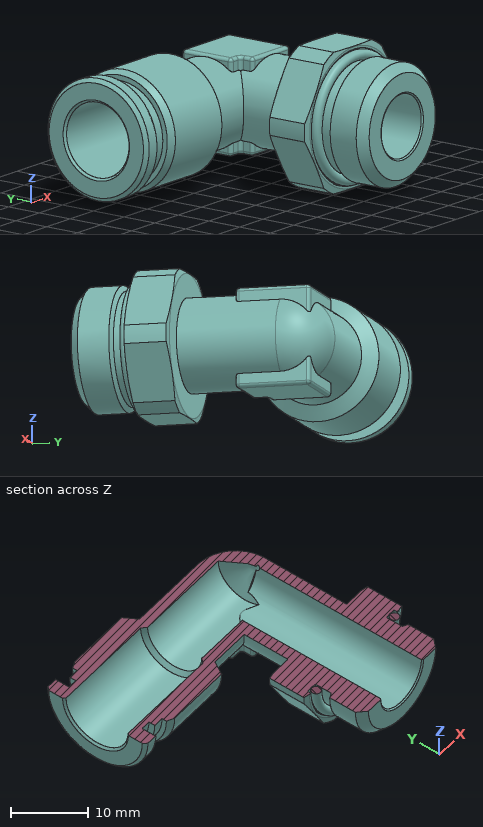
import cadquery as cq
import math


arm_radius = 6.25
pad_half_width = 4.05
pad_reach = 6.05
pad_height = 6.6
pad_edge_radius = 0.48

hex_corner_radius = 10.35
overall_length = 39.95
tube_end_x = hex_corner_radius - overall_length
collar_radius = 8.23
collar_face_radius = 7.65
collar_chamfer_length = 0.48
collar_length = 2.15
neck_radius = 6.05
neck_length = 1.35
step_radius = 7.0
step_length = 1.5
sleeve_face_radius = 7.7
sleeve_chamfer_length = 1.08
sleeve_length = 11.02
sleeve_taper_length = 1.2
collar_end_x = tube_end_x + collar_length
neck_end_x = collar_end_x + neck_length
sleeve_x = neck_end_x + step_length
sleeve_end_x = sleeve_x + sleeve_length

tube_mouth_radius = 5.4
tube_radius = 5.07
tube_mouth_depth = 0.3
bore_radius = 4.45
bore_end_x = 2.0
drill_point_angle = 118.0

overall_depth = 35.5
stud_end_y = collar_radius - overall_depth
thread_radius = 8.3
thread_chamfer = 1.2
thread_length = 5.45
thread_runout_length = 0.4
relief_radius = 7.55
stud_bore_radius = 4.3
stud_mouth_chamfer = 0.2

hex_across_flats = 19.0
hex_face_y = -19.4
hex_length = 6.07
hex_face_radius = 9.43
hex_chamfer_length = 0.2

ring_section_radius = 0.7
ring_recess_radius = 9.1
ring_recess_depth = 0.5


def revolve_about_x(points):
    """Turn a closed outline of (x, radius) points about the X axis."""
    outline = [(x, -radius) for x, radius in points]
    return cq.Workplane("XY").polyline(outline).close().revolve(360, (0, 0, 0), (1, 0, 0))


def revolve_about_y(points):
    """Turn a closed outline of (radius, y) points about the Y axis."""
    outline = [(-radius, y) for radius, y in points]
    return cq.Workplane("XY").polyline(outline).close().revolve(360, (0, 0, 0), (0, 1, 0))


def tube_arm():
    """Outer shape of the tube arm: release collar, neck, step, sleeve and plain arm."""
    return revolve_about_x([
        (tube_end_x, 0),
        (tube_end_x, collar_face_radius),
        (tube_end_x + collar_chamfer_length, collar_radius),
        (collar_end_x, collar_radius),
        (collar_end_x, neck_radius),
        (neck_end_x, neck_radius),
        (neck_end_x, step_radius),
        (sleeve_x, step_radius),
        (sleeve_x, sleeve_face_radius),
        (sleeve_x + sleeve_chamfer_length, collar_radius),
        (sleeve_end_x, collar_radius),
        (sleeve_end_x + sleeve_taper_length, arm_radius),
        (0, arm_radius),
        (0, 0),
    ])


def stud():
    """Outer shape of the stud: thread with chamfer and run-out, relief and plain arm."""
    thread_end_y = stud_end_y + thread_length
    relief_y = thread_end_y + thread_runout_length
    return revolve_about_y([
        (0, stud_end_y),
        (thread_radius - thread_chamfer, stud_end_y),
        (thread_radius, stud_end_y + thread_chamfer),
        (thread_radius, thread_end_y),
        (relief_radius, relief_y),
        (relief_radius, hex_face_y),
        (arm_radius, hex_face_y),
        (arm_radius, 0),
        (0, 0),
    ])


def hexagon():
    """Wrench hexagon with turned-down corners, chamfered on both faces and recessed for the O-ring."""
    hex_back_y = hex_face_y + hex_length
    prism = (
        cq.Workplane("XZ", origin=(0, hex_back_y, 0))
        .polygon(6, hex_across_flats, circumscribed=True)
        .extrude(hex_length)
        .rotate((0, 0, 0), (0, 1, 0), 30)
    )
    corner_envelope = revolve_about_y([
        (0, hex_face_y),
        (hex_face_radius, hex_face_y),
        (hex_corner_radius, hex_face_y + hex_chamfer_length),
        (hex_corner_radius, hex_back_y - hex_chamfer_length),
        (hex_face_radius, hex_back_y),
        (0, hex_back_y),
    ])
    recess_floor_y = hex_face_y + ring_recess_depth
    ring_recess = revolve_about_y([
        (relief_radius, hex_face_y),
        (ring_recess_radius, hex_face_y),
        (ring_recess_radius, recess_floor_y),
        (relief_radius, recess_floor_y),
    ])
    return prism.intersect(corner_envelope).cut(ring_recess)


def elbow_pads():
    """L-shaped block with rounded edges whose two faces stand out above and below the elbow."""
    return (
        cq.Workplane("XY", origin=(0, 0, -pad_height))
        .moveTo(pad_half_width, pad_half_width)
        .lineTo(-pad_reach, pad_half_width)
        .lineTo(-pad_reach, -pad_half_width)
        .lineTo(-pad_half_width, -pad_half_width)
        .lineTo(-pad_half_width, -pad_reach)
        .lineTo(pad_half_width, -pad_reach)
        .close()
        .extrude(2 * pad_height)
        .edges()
        .fillet(pad_edge_radius)
    )


def tube_bore():
    """Chamfered tube socket, conical tube stop, smaller bore and drill point."""
    stop_length = tube_radius - bore_radius
    drill_point_length = bore_radius / math.tan(math.radians(drill_point_angle / 2))
    return revolve_about_x([
        (tube_end_x, 0),
        (tube_end_x, tube_mouth_radius),
        (tube_end_x + tube_mouth_depth, tube_radius),
        (sleeve_end_x, tube_radius),
        (sleeve_end_x + stop_length, bore_radius),
        (bore_end_x, bore_radius),
        (bore_end_x + drill_point_length, 0),
    ])


def stud_bore():
    """Chamfered bore that runs up the stud to the axis of the tube arm."""
    return revolve_about_y([
        (0, stud_end_y),
        (stud_bore_radius + stud_mouth_chamfer, stud_end_y),
        (stud_bore_radius, stud_end_y + stud_mouth_chamfer),
        (stud_bore_radius, 0),
        (0, 0),
    ])


def make_fitting():
    """The whole fitting without its seal."""
    round_corner = cq.Workplane("XY").sphere(arm_radius)
    outside = tube_arm().union(stud()).union(round_corner).union(hexagon()).union(elbow_pads())
    return outside.cut(tube_bore()).cut(stud_bore()).solids()


def make_o_ring():
    """O-ring around the relief, resting on the floor of the hexagon's recess."""
    ring_radius = relief_radius + ring_section_radius
    ring_y = hex_face_y + ring_recess_depth - ring_section_radius
    return (
        cq.Workplane("XY")
        .center(-ring_radius, ring_y)
        .circle(ring_section_radius)
        .revolve(360, (ring_radius, 0, 0), (ring_radius, 1, 0))
    )


fitting = make_fitting()
o_ring = make_o_ring()

result = cq.Compound.makeCompound([fitting.val(), o_ring.val()])